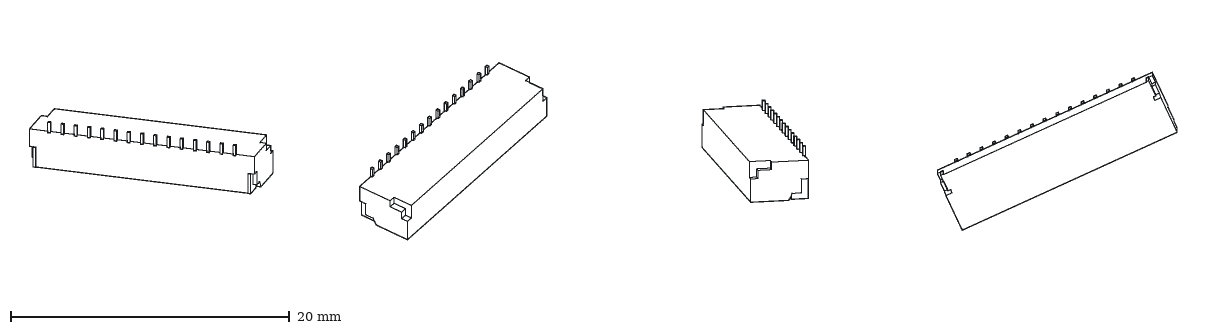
import cadquery as cq

body_length = 17.0
body_depth = 4.25
body_height = 2.9

pin_count = 15
pin_pitch = 1.0
pin_width = 0.2
pin_thickness = 0.2
pin_overhang = 0.07
pin_rise = 0.7
pin_embed = 0.1

end_recess = 0.48
upper_long = 1.54
upper_shallow = 0.56
upper_short = 0.52
upper_deep = 1.17

plate_thickness = 0.2
plate_overhang = 0.04
plate_leg_depth = 0.53
plate_leg_height = 1.54
plate_foot_depth = 1.2
plate_foot_height = 0.51
pocket_slope_run = 0.26


def end_profile(points, x_start, thickness):
    """Extrude a YZ outline along +X from x_start."""
    return cq.Workplane("YZ", origin=(x_start, 0, 0)).polyline(points).close().extrude(thickness)


def upper_notch():
    """Stepped cut at the upper rear corner of the -X end."""
    points = [
        (body_depth, body_height),
        (body_depth - upper_long, body_height),
        (body_depth - upper_long, body_height - upper_shallow),
        (body_depth - upper_short, body_height - upper_shallow),
        (body_depth - upper_short, body_height - upper_deep),
        (body_depth, body_height - upper_deep),
    ]
    return end_profile(points, -body_length / 2, end_recess)


def lower_outline(front_y, foot_end_y):
    """L-shaped outline; its rear wall slopes when foot_end_y lies behind the foot."""
    return [
        (front_y, 0),
        (front_y, plate_leg_height),
        (plate_leg_depth, plate_leg_height),
        (plate_leg_depth, plate_foot_height),
        (plate_foot_depth, plate_foot_height),
        (foot_end_y, 0),
    ]


def lower_pocket():
    """Pocket at the lower front corner of the -X end, with a sloped rear wall."""
    points = lower_outline(0, plate_foot_depth + pocket_slope_run)
    return end_profile(points, -body_length / 2, end_recess)


def solder_plate():
    """Plate lying against the inner wall of the lower pocket of the -X end."""
    points = lower_outline(-plate_overhang, plate_foot_depth)
    inner_x = -body_length / 2 + end_recess
    return end_profile(points, inner_x - plate_thickness, plate_thickness)


def contact_pin(x_center):
    """Upright rectangular pin on the front top edge."""
    return cq.Workplane("XY").box(
        pin_width, pin_thickness, pin_embed + pin_rise, centered=(True, False, False)
    ).translate((x_center, -pin_overhang, body_height - pin_embed))


def at_both_ends(shape):
    """The given -X end shape together with its mirror image at the +X end."""
    return [shape, shape.mirror("YZ")]


result = cq.Workplane("XY").box(body_length, body_depth, body_height, centered=(True, False, False))

for cut in at_both_ends(upper_notch()) + at_both_ends(lower_pocket()):
    result = result.cut(cut)

for plate in at_both_ends(solder_plate()):
    result = result.union(plate)

for i in range(pin_count):
    result = result.union(contact_pin((i - (pin_count - 1) / 2) * pin_pitch))